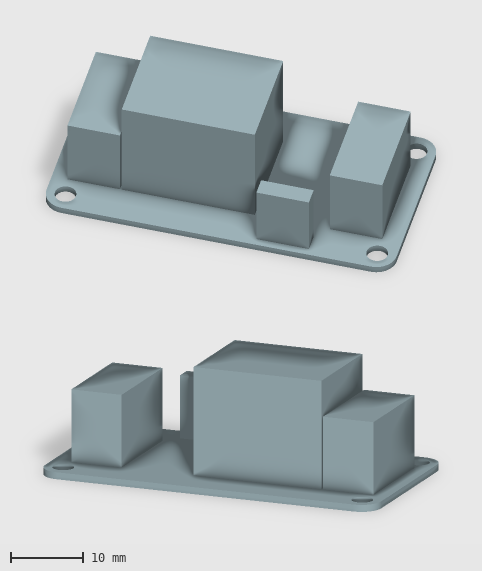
import cadquery as cq

board_length = 50.0
board_width = 26.25
board_thickness = 1.0
corner_radius = 2.9
hole_diameter = 3.0
hole_edge_inset = 2.75

relay_length = 19.0
relay_total_height = 16.5
relay_left_x = -15.0
row_width = 15.0
terminal_length = 7.5
terminal_height = 10.4
relay_terminal_gap = 0.25
right_terminal_left_x = 14.7

header_length = 7.5
header_width = 2.5
header_height = 9.0
header_left_x = 5.45
header_edge_inset = 1.1


def make_board():
    """Rounded board with a mounting hole near each corner."""
    blank = cq.Workplane("XY").box(
        board_length, board_width, board_thickness, centered=(True, True, False)
    )
    hole_spacing_x = board_length - 2 * hole_edge_inset
    hole_spacing_y = board_width - 2 * hole_edge_inset
    return (
        blank.edges("|Z")
        .fillet(corner_radius)
        .faces(">Z")
        .workplane()
        .rect(hole_spacing_x, hole_spacing_y, forConstruction=True)
        .vertices()
        .hole(hole_diameter)
    )


def make_component(left_x, front_y, length, width, height):
    """Plain rectangular component standing on the board."""
    return (
        cq.Workplane("XY")
        .box(length, width, height, centered=False)
        .translate((left_x, front_y, board_thickness))
    )


row_front_y = -row_width / 2
left_terminal_left_x = relay_left_x - relay_terminal_gap - terminal_length
relay_height = relay_total_height - board_thickness
header_front_y = -board_width / 2 + header_edge_inset

relay = make_component(relay_left_x, row_front_y, relay_length, row_width, relay_height)
header = make_component(
    header_left_x, header_front_y, header_length, header_width, header_height
)

result = make_board().union(relay).union(header)
for terminal_left_x in (left_terminal_left_x, right_terminal_left_x):
    terminal = make_component(
        terminal_left_x, row_front_y, terminal_length, row_width, terminal_height
    )
    result = result.union(terminal)